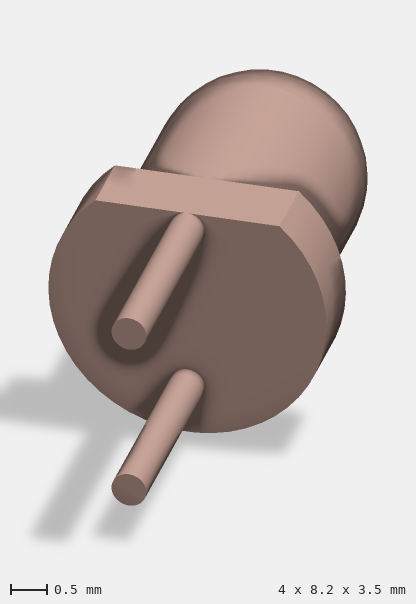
import cadquery as cq

total_length = 8.2
flange_diameter = 4.0
flange_thickness = 1.0
lens_diameter = 3.0
lead_length = 3.0
lead_diameter = 0.5
lead_spacing = 2.5

flange_radius = flange_diameter / 2
lens_radius = lens_diameter / 2
flat_height = lens_radius
barrel_length = total_length - lead_length - flange_thickness - lens_radius


def make_lens():
    """Barrel with a hemispherical tip, standing on the flange."""
    barrel_end = flange_thickness + barrel_length
    tip = barrel_end + lens_radius
    arc_offset = lens_radius * 0.5 ** 0.5
    half_profile = (
        cq.Workplane("XY")
        .moveTo(0, flange_thickness)
        .lineTo(lens_radius, flange_thickness)
        .lineTo(lens_radius, barrel_end)
        .threePointArc((arc_offset, barrel_end + arc_offset), (0, tip))
        .close()
    )
    return half_profile.revolve(360, (0, 0, 0), (0, 1, 0))


def make_flange():
    """Round flange with one flat on its +Z side; its lead face is at Y = 0."""
    disc = cq.Workplane("XZ").circle(flange_radius).extrude(-flange_thickness)
    kept_height = flange_radius + flat_height
    kept_zone = cq.Workplane("XY").box(
        flange_diameter, flange_thickness, kept_height, centered=(True, False, False)
    ).translate((0, 0, -flange_radius))
    return disc.intersect(kept_zone)


def make_leads():
    """Two round leads, one above the other, pointing toward -Y."""
    return (
        cq.Workplane("XZ")
        .pushPoints([(0, -lead_spacing / 2), (0, lead_spacing / 2)])
        .circle(lead_diameter / 2)
        .extrude(lead_length)
    )


result = make_flange().union(make_lens()).union(make_leads())